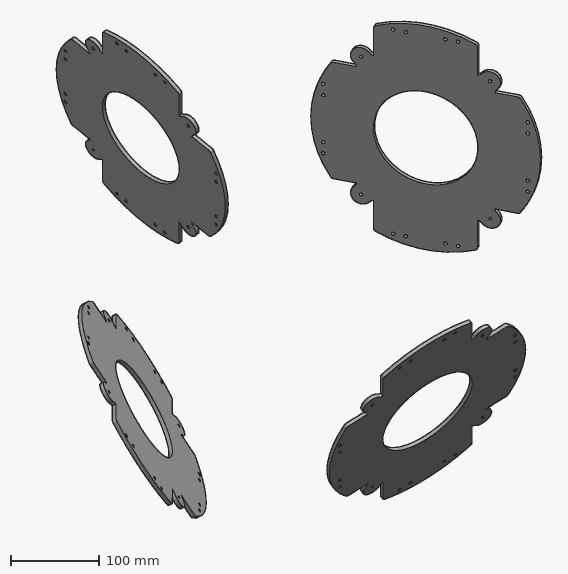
import cadquery as cq
import math

height = 304.0
width = 275.0
thickness = 5.0
bore_diameter = 125.0
corner_radius = 5.0

upright_half_width = bore_diameter / 2
sideways_half_width = 79.0
upright_end_radius = height / 2
sideways_end_radius = width / 2

hole_diameter = 4.0
upright_hole_z = 138.5
upright_hole_offsets = (23.7, 39.0)
sideways_hole_x = 122.5
sideways_hole_offsets = (32.0, 47.0)

lug_x = 77.2
lug_z = 93.3
lug_radius = 12.8
flare_radius = 5.0
small_lug_hole_diameter = 3.0


def arm_pair(half_length, half_width, end_radius):
    """Two opposite arms along local X, with arc ends and rounded corners."""
    sagitta = end_radius - math.sqrt(end_radius**2 - half_width**2)
    corner = half_length - sagitta
    return (
        cq.Workplane("XZ")
        .moveTo(-corner, -half_width)
        .lineTo(corner, -half_width)
        .threePointArc((half_length, 0), (corner, half_width))
        .lineTo(-corner, half_width)
        .threePointArc((-half_length, 0), (-corner, -half_width))
        .close()
        .extrude(thickness / 2, both=True)
        .edges("|Y")
        .fillet(corner_radius)
    )


def lug():
    """Lug of the +X, +Z corner: round end, straight 45 degree neck and flared root."""
    diagonal = math.sqrt(0.5)
    tangent = lug_radius * diagonal
    flare_run = flare_radius * diagonal
    flare_rise = flare_radius * (1 - diagonal)
    mid_run = flare_radius * math.sin(math.pi / 8)
    mid_rise = flare_radius * (1 - math.cos(math.pi / 8))

    upper_x = upright_half_width + flare_run
    upper_z = upper_x + (lug_z + tangent) - (lug_x - tangent)
    upper_root_z = upper_z - flare_rise
    lower_z = sideways_half_width + flare_run
    lower_x = lower_z + (lug_x + tangent) - (lug_z - tangent)
    lower_root_x = lower_x - flare_rise

    return (
        cq.Workplane("XZ")
        .moveTo(upright_half_width, sideways_half_width)
        .lineTo(upright_half_width, upper_root_z)
        .threePointArc((upright_half_width + mid_run, upper_root_z + mid_rise), (upper_x, upper_z))
        .lineTo(lug_x - tangent, lug_z + tangent)
        .threePointArc((lug_x + tangent, lug_z + tangent), (lug_x + tangent, lug_z - tangent))
        .lineTo(lower_x, lower_z)
        .threePointArc(
            (lower_root_x + mid_rise, sideways_half_width + mid_run),
            (lower_root_x, sideways_half_width),
        )
        .close()
        .extrude(thickness / 2, both=True)
    )


def through_holes(points, diameter):
    return cq.Workplane("XZ").pushPoints(points).circle(diameter / 2).extrude(thickness, both=True)


def mirrored_points(x, z):
    return [(side_x * x, side_z * z) for side_x in (-1, 1) for side_z in (-1, 1)]


sideways_arms = arm_pair(width / 2, sideways_half_width, sideways_end_radius)
upright_arms = arm_pair(height / 2, upright_half_width, upright_end_radius)
upright_arms = upright_arms.rotate((0, 0, 0), (0, 1, 0), 90)
plate = sideways_arms.union(upright_arms)

right_lugs = lug().union(lug().mirror("XY"))
plate = plate.union(right_lugs).union(right_lugs.mirror("YZ"))

arm_hole_points = []
for offset in upright_hole_offsets:
    arm_hole_points += mirrored_points(offset, upright_hole_z)
for offset in sideways_hole_offsets:
    arm_hole_points += mirrored_points(sideways_hole_x, offset)

small_hole_point = (-lug_x, -lug_z)
lug_hole_points = [point for point in mirrored_points(lug_x, lug_z) if point != small_hole_point]

plate = plate.cut(through_holes([(0, 0)], bore_diameter))
plate = plate.cut(through_holes(arm_hole_points + lug_hole_points, hole_diameter))
result = plate.cut(through_holes([small_hole_point], small_lug_hole_diameter))